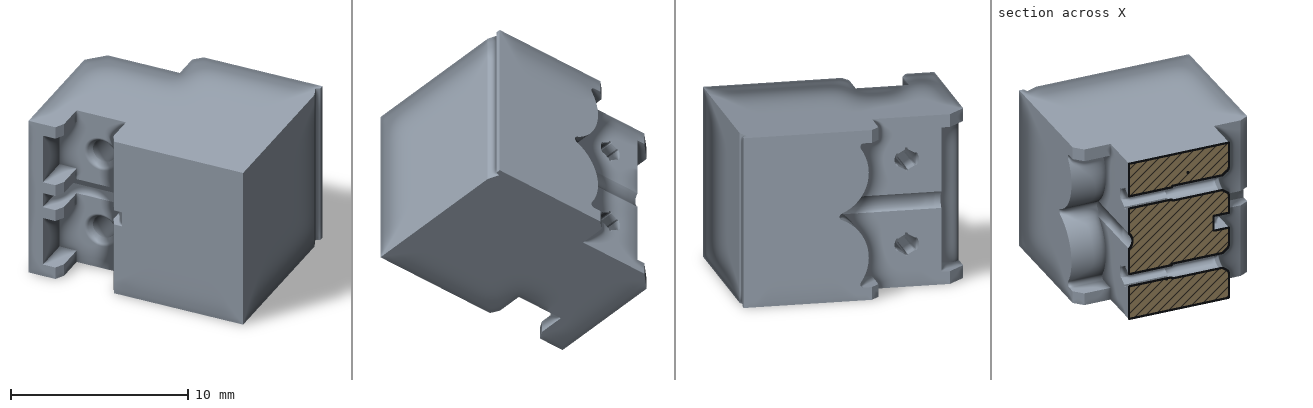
import cadquery as cq
import math

LENGTH = 13.4
DEPTH = 10.5
HEIGHT = 10.0
MID_Z = HEIGHT / 2
POLE_PITCH = 5.0
POLE_HEIGHTS = (MID_Z - POLE_PITCH / 2, MID_Z + POLE_PITCH / 2)

SHELF_Y = 8.39
STEP_X = 5.5
SHELF_CHAMFER = 0.99
STEP_CHAMFER = 0.5
CHANNEL_START = 1.97
CHANNEL_END = 5.05
CHANNEL_DEPTH = 2.2
LEAD_IN_WIDTH = 0.3
LEAD_IN_DEPTH = 0.54
LIP_WIDTH = 0.28
LIP_UNDERCUT = 0.27
LIP_RISE = 0.1
LIP_RAMP = 0.68

WALL = 0.75
FLANGE = 0.9
WINDOW_HEIGHT = 3.07
SLOT_END = 5.83
SLOT_HEIGHT = 0.92
SLOT_DEPTH = 0.94

HOLE_X = 3.5
MOUTH_DIAMETER = 2.1
CONE_DIAMETER = 1.74
BORE_DIAMETER = 1.4
CONE_ANGLE = math.radians(60)
LEDGE_THICKNESS = 2.68
LEDGE_APEX = 0.64
LEDGE_GAP = 0.16
LEDGE_SIDE_GAP = 0.75

RECESS_X = 1.49
RECESS_START = 6.65
RECESS_ROUND = 0.56

BARREL_RADIUS = 2.49
BARREL_CREST = 6.16
BARREL_X = BARREL_CREST + BARREL_RADIUS
BLEND_RADIUS = 0.2

GROOVE_RADIUS = 0.7
GROOVE_DEPTH = 0.2
GROOVE_BOTTOM = SHELF_Y - GROOVE_DEPTH


def box(x0, x1, y0, y1, z0, z1):
    return cq.Workplane("XY").box(x1 - x0, y1 - y0, z1 - z0, centered=False).translate((x0, y0, z0))


def block():
    lip_y = DEPTH - LIP_WIDTH
    return (
        cq.Workplane("XY")
        .polyline([
            (0, 0),
            (CHANNEL_START - LEAD_IN_WIDTH, 0),
            (CHANNEL_START, LEAD_IN_DEPTH),
            (CHANNEL_START, CHANNEL_DEPTH),
            (CHANNEL_END, CHANNEL_DEPTH),
            (CHANNEL_END, LEAD_IN_DEPTH),
            (CHANNEL_END + LEAD_IN_WIDTH, 0),
            (LENGTH, 0),
            (LENGTH, lip_y - LIP_RISE - LIP_RAMP),
            (LENGTH - LIP_UNDERCUT, lip_y - LIP_RISE),
            (LENGTH, lip_y),
            (LENGTH, DEPTH),
            (STEP_X + STEP_CHAMFER, DEPTH),
            (STEP_X, DEPTH - STEP_CHAMFER),
            (STEP_X, SHELF_Y),
            (SHELF_CHAMFER, SHELF_Y),
            (0, SHELF_Y - SHELF_CHAMFER),
        ])
        .close()
        .extrude(HEIGHT)
    )


def channel_windows():
    lower = box(FLANGE, CHANNEL_START, 0, CHANNEL_DEPTH, WALL, WALL + WINDOW_HEIGHT)
    return lower.union(lower.mirror("XY", (0, 0, MID_Z)))


def partition_slot():
    half = SLOT_HEIGHT / 2
    return box(FLANGE, SLOT_END, 0, CHANNEL_DEPTH + SLOT_DEPTH, MID_Z - half, MID_Z + half)


def entry_hole(z):
    mouth_r = MOUTH_DIAMETER / 2
    cone_r = CONE_DIAMETER / 2
    bore_r = BORE_DIAMETER / 2
    ledge_y = SHELF_Y - LEDGE_THICKNESS

    mouth_round = (mouth_r - cone_r) / math.sin(CONE_ANGLE)
    cone_start = CHANNEL_DEPTH + mouth_round * (1 - math.cos(CONE_ANGLE))
    cone_end = cone_start + (cone_r - bore_r) * math.tan(CONE_ANGLE)

    funnel = (
        cq.Workplane("XY")
        .moveTo(0, CHANNEL_DEPTH)
        .lineTo(mouth_r, CHANNEL_DEPTH)
        .radiusArc((cone_r, cone_start), mouth_round)
        .lineTo(bore_r, cone_end)
        .lineTo(bore_r, SHELF_Y)
        .lineTo(0, SHELF_Y)
        .close()
        .revolve(360, (0, 0, 0), (0, 1, 0))
    )

    rhombus_half_width = LEDGE_APEX * math.sqrt(3)
    rhombus = (
        cq.Workplane("XZ", origin=(0, ledge_y, 0))
        .polyline([(0, LEDGE_APEX), (rhombus_half_width, 0), (0, -LEDGE_APEX), (-rhombus_half_width, 0)])
        .close()
        .extrude(-LEDGE_THICKNESS)
    )
    gap = box(-LEDGE_GAP / 2, LEDGE_GAP / 2, ledge_y, SHELF_Y, -bore_r, bore_r)
    side_gap = box(-bore_r, bore_r, ledge_y, SHELF_Y, -LEDGE_SIDE_GAP / 2, LEDGE_SIDE_GAP / 2)
    entry = box(-mouth_r, mouth_r, CHANNEL_DEPTH, ledge_y, -mouth_r, mouth_r)
    opening = entry.union(rhombus).union(gap).union(side_gap)
    return funnel.intersect(opening).translate((HOLE_X, 0, z))


def side_recess():
    return (
        cq.Workplane("XY", origin=(0, 0, WALL))
        .moveTo(0, RECESS_START - RECESS_ROUND)
        .radiusArc((RECESS_ROUND, RECESS_START), RECESS_ROUND)
        .lineTo(RECESS_X, RECESS_START)
        .lineTo(RECESS_X, SHELF_Y)
        .lineTo(0, SHELF_Y)
        .close()
        .extrude(HEIGHT - 2 * WALL)
    )


def barrel_recess(floor_y):
    """Space in front of the two barrels down to floor_y, with concave blends beside and between them."""
    reach = BARREL_RADIUS + BLEND_RADIUS
    lower_z, upper_z = POLE_HEIGHTS

    outer_sin = (lower_z - WALL - BLEND_RADIUS) / reach
    inner_sin = (MID_Z - lower_z) / reach
    outer_cos = math.sqrt(1 - outer_sin ** 2)
    inner_cos = math.sqrt(1 - inner_sin ** 2)
    outer_x = BARREL_X - BARREL_RADIUS * outer_cos
    inner_x = BARREL_X - BARREL_RADIUS * inner_cos
    outer_rise = BARREL_RADIUS * outer_sin
    inner_rise = BARREL_RADIUS * inner_sin
    wall_x = BARREL_X - reach * outer_cos
    top = HEIGHT - WALL

    return (
        cq.Workplane("XZ", origin=(0, DEPTH, 0))
        .moveTo(STEP_X, WALL)
        .lineTo(wall_x, WALL)
        .radiusArc((outer_x, lower_z - outer_rise), -BLEND_RADIUS)
        .threePointArc((BARREL_CREST, lower_z), (inner_x, lower_z + inner_rise))
        .radiusArc((inner_x, upper_z - inner_rise), -BLEND_RADIUS)
        .threePointArc((BARREL_CREST, upper_z), (outer_x, upper_z + outer_rise))
        .radiusArc((wall_x, top), -BLEND_RADIUS)
        .lineTo(STEP_X, top)
        .close()
        .extrude(DEPTH - floor_y)
    )


def shelf_groove():
    groove = (
        cq.Workplane("YZ")
        .center(GROOVE_BOTTOM + GROOVE_RADIUS, MID_Z)
        .circle(GROOVE_RADIUS)
        .extrude(BARREL_X)
    )
    shelf_zone = box(0, STEP_X, GROOVE_BOTTOM, SHELF_Y, WALL, HEIGHT - WALL)
    return groove.intersect(shelf_zone.union(barrel_recess(GROOVE_BOTTOM)))


result = block().cut(channel_windows()).cut(partition_slot())
for pole_z in POLE_HEIGHTS:
    result = result.cut(entry_hole(pole_z))
result = result.cut(side_recess()).cut(barrel_recess(SHELF_Y)).cut(shelf_groove())